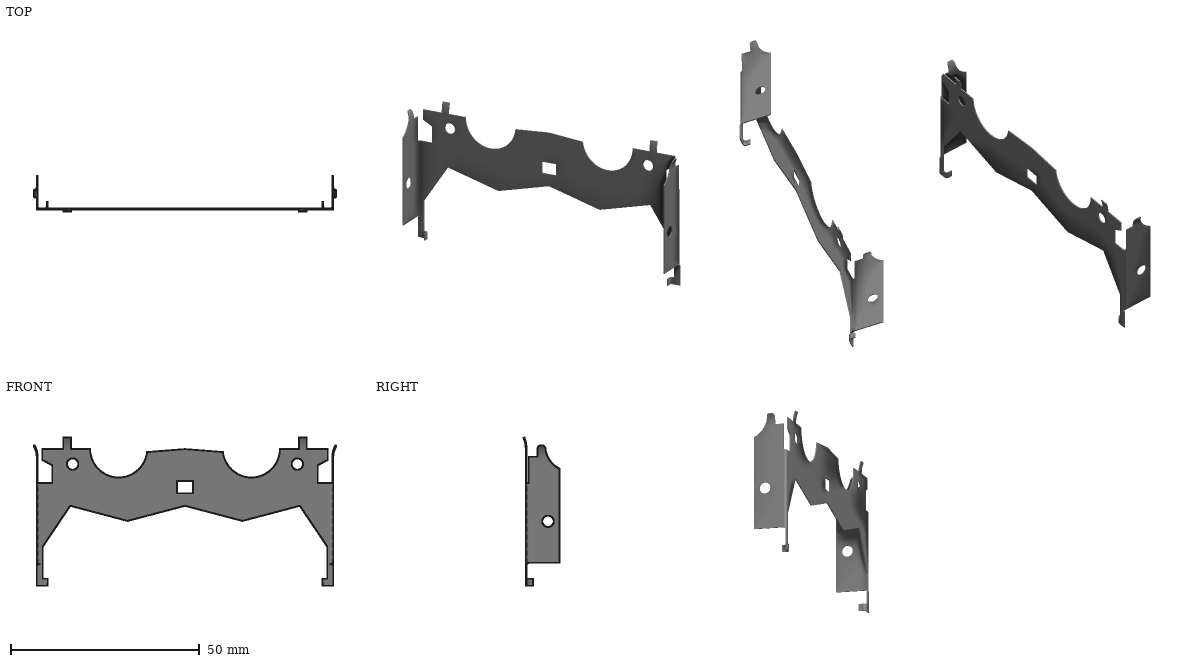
import cadquery as cq
import math


overall_length = 80.3
sheet = 0.3
bend_radius = 0.8

sheet_top = 36.3
notch_floor = 27.3
notch_inner_x = 35.3
notch_inner_top = 32.0
ear_x = 37.9
ear_bottom = 33.4
scallop_x = 17.6
scallop_radius = 7.55
scallop_inner_z = 35.5
lower_peak_z = 21.2
lower_peak_x = 30.45
lower_dip_z = 17.2
leg_inner_x = 37.7
leg_inner_top = 10.45
window_width = 4.2
window_height = 3.2
window_z = 26.2
hole_diameter = 3.0
front_hole_x = 29.8
front_hole_z = 32.3

wall_back = 9.0
wall_bottom = 6.1
wall_top = 34.3
wall_back_top = 31.1
wall_hole_y = 5.95
wall_hole_z = 17.1
relief_z = 5.7

wall_tab_front = 3.1
wall_tab_back = 5.3
wall_tab_top = 37.3
wall_tab_round = 1.0
wall_flare_radius = 5.4
wall_sweep_radius = 6.7
front_tab_x = 31.25
front_tab_width = 2.1
front_tab_top = 39.35
front_flare_radius = 8.0

hook_height = 1.9
hook_x = 36.4
hook_back = 2.0


def flare_angle(radius, rise):
    """Angle a tab curls through when its inner face climbs by rise."""
    return math.asin(rise / (radius + sheet))


wall_tab_angle = flare_angle(wall_flare_radius, wall_tab_top - wall_top)
wall_outer = overall_length / 2 - wall_flare_radius * (1 - math.cos(wall_tab_angle))
front_tab_angle = flare_angle(front_flare_radius, front_tab_top - sheet_top)


def block(x0, x1, y0, y1, z0, z1):
    return cq.Workplane("XY").box(x1 - x0, y1 - y0, z1 - z0, centered=False).translate((x0, y0, z0))


def flare_profile(plane, outer, bottom, start, radius, angle, outward):
    """Edge-on outline of a strip rising from bottom, then curling outward above start."""
    def arc_point(r, a):
        return (outer + outward * (radius - r * math.cos(a)), start + r * math.sin(a))

    inner_radius = radius + sheet
    inner = outer - outward * sheet
    return (
        cq.Workplane(plane)
        .moveTo(outer, bottom)
        .lineTo(outer, start)
        .threePointArc(arc_point(radius, angle / 2), arc_point(radius, angle))
        .lineTo(*arc_point(inner_radius, angle))
        .threePointArc(arc_point(inner_radius, angle / 2), (inner, start))
        .lineTo(inner, bottom)
        .close()
    )


def fold(corner_x, outward, z0, z1):
    """Quarter-round fold from the front sheet to a face running back in y."""
    center_x = corner_x - outward * bend_radius
    ring = (
        cq.Workplane("XY", origin=(center_x, bend_radius, z0))
        .circle(bend_radius)
        .circle(bend_radius - sheet)
        .extrude(z1 - z0)
    )
    quarter = block(min(center_x, corner_x), max(center_x, corner_x), 0, bend_radius, z0, z1)
    return ring.intersect(quarter)


def front_sheet():
    fold_x = wall_outer - bend_radius
    hook_bend_x = hook_x + bend_radius
    scallop_inner_x = scallop_x - math.sqrt(scallop_radius**2 - (sheet_top - scallop_inner_z) ** 2)
    body = (
        cq.Workplane("XZ")
        .moveTo(0, sheet_top)
        .lineTo(scallop_inner_x, scallop_inner_z)
        .threePointArc((scallop_x, sheet_top - scallop_radius), (scallop_x + scallop_radius, sheet_top))
        .lineTo(ear_x, sheet_top)
        .lineTo(ear_x, ear_bottom)
        .lineTo(notch_inner_x, notch_inner_top)
        .lineTo(notch_inner_x, notch_floor)
        .lineTo(fold_x, notch_floor)
        .lineTo(fold_x, relief_z)
        .lineTo(wall_outer, relief_z)
        .lineTo(wall_outer, 0)
        .lineTo(hook_bend_x, 0)
        .lineTo(hook_bend_x, hook_height)
        .lineTo(leg_inner_x, hook_height)
        .lineTo(leg_inner_x, leg_inner_top)
        .lineTo(lower_peak_x, lower_peak_z)
        .lineTo(lower_peak_x / 2, lower_dip_z)
        .lineTo(0, lower_peak_z)
        .close()
        .extrude(-sheet)
    )
    hole = (
        cq.Workplane("XZ")
        .center(front_hole_x, front_hole_z)
        .circle(hole_diameter / 2)
        .extrude(-sheet)
    )
    window = (
        cq.Workplane("XZ")
        .center(0, window_z)
        .rect(window_width, window_height)
        .extrude(-sheet)
    )
    return body.cut(hole).cut(window)


def front_tab():
    profile = flare_profile(
        "YZ", 0, sheet_top - sheet, sheet_top, front_flare_radius, front_tab_angle, -1
    )
    return profile.extrude(front_tab_width).translate((front_tab_x - front_tab_width / 2, 0, 0))


def side_wall():
    profile = flare_profile(
        "XZ", wall_outer, wall_bottom, wall_top, wall_flare_radius, wall_tab_angle, 1
    )
    strip = profile.extrude(-wall_back)
    round_start = wall_tab_top - wall_tab_round
    round_offset = wall_tab_round * (1 - math.sqrt(0.5))
    outline = (
        cq.Workplane("YZ")
        .moveTo(bend_radius, wall_bottom)
        .lineTo(wall_back, wall_bottom)
        .lineTo(wall_back, wall_back_top)
        .radiusArc((wall_tab_back, round_start), wall_sweep_radius)
        .threePointArc(
            (wall_tab_back - round_offset, wall_tab_top - round_offset),
            (wall_tab_back - wall_tab_round, wall_tab_top),
        )
        .lineTo(wall_tab_front + wall_tab_round, wall_tab_top)
        .threePointArc(
            (wall_tab_front + round_offset, wall_tab_top - round_offset),
            (wall_tab_front, round_start),
        )
        .lineTo(wall_tab_front, wall_top)
        .lineTo(bend_radius, wall_top)
        .close()
        .extrude(overall_length)
    )
    hole = (
        cq.Workplane("YZ")
        .center(wall_hole_y, wall_hole_z)
        .circle(hole_diameter / 2)
        .extrude(overall_length)
    )
    return strip.intersect(outline).cut(hole)


def wall_fold():
    """Fold of the side wall; its lower end slopes from the leg up to the wall."""
    slope = (
        cq.Workplane("YZ")
        .moveTo(0, relief_z)
        .lineTo(bend_radius, relief_z)
        .lineTo(bend_radius, wall_bottom)
        .close()
        .extrude(overall_length)
    )
    return fold(wall_outer, 1, relief_z, notch_floor).cut(slope)


def hook():
    tip = block(hook_x, hook_x + sheet, bend_radius, hook_back, 0, hook_height)
    return fold(hook_x, -1, 0, hook_height).union(tip)


half = front_sheet().union(front_tab()).union(side_wall()).union(wall_fold()).union(hook())
result = half.union(half.mirror("YZ"))